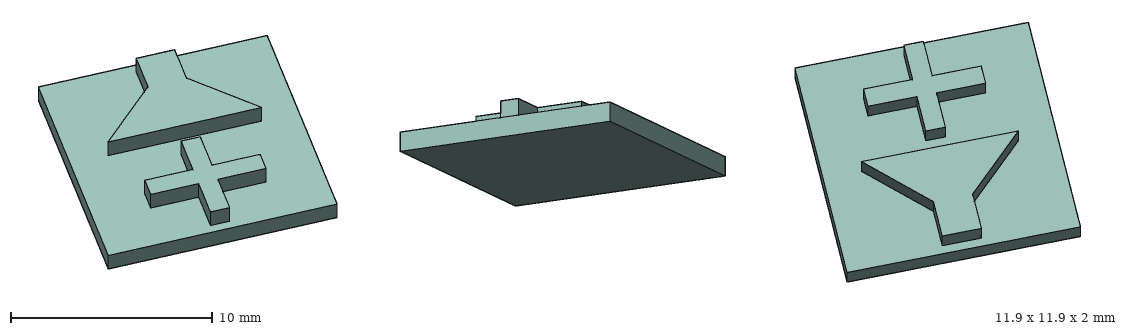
import cadquery as cq

plate_side = 11.9
plate_thickness = 1.0

symbol_height = 1.0
side_margin = 0.45

speaker_body_length = 2.0
speaker_body_width = 2.0
cone_length = 3.0
cone_mouth_width = 8.0

plus_length_x = 5.0
plus_length_y = 6.0
plus_bar_width = 1.0


def make_plate():
    return cq.Workplane("XY").rect(plate_side, plate_side).extrude(plate_thickness)


def make_speaker():
    back_x = -plate_side / 2 + side_margin
    throat_x = back_x + speaker_body_length
    mouth_x = throat_x + cone_length
    half_body = speaker_body_width / 2
    half_mouth = cone_mouth_width / 2
    outline = [
        (back_x, -half_body),
        (throat_x, -half_body),
        (mouth_x, -half_mouth),
        (mouth_x, half_mouth),
        (throat_x, half_body),
        (back_x, half_body),
    ]
    top_face = cq.Workplane("XY", origin=(0, 0, plate_thickness))
    return top_face.polyline(outline).close().extrude(symbol_height)


def make_plus():
    center_x = plate_side / 2 - side_margin - plus_length_x / 2
    center = cq.Workplane("XY", origin=(center_x, 0, plate_thickness))
    bar_along_x = center.rect(plus_length_x, plus_bar_width).extrude(symbol_height)
    bar_along_y = center.rect(plus_bar_width, plus_length_y).extrude(symbol_height)
    return bar_along_x.union(bar_along_y)


result = make_plate().union(make_speaker()).union(make_plus())